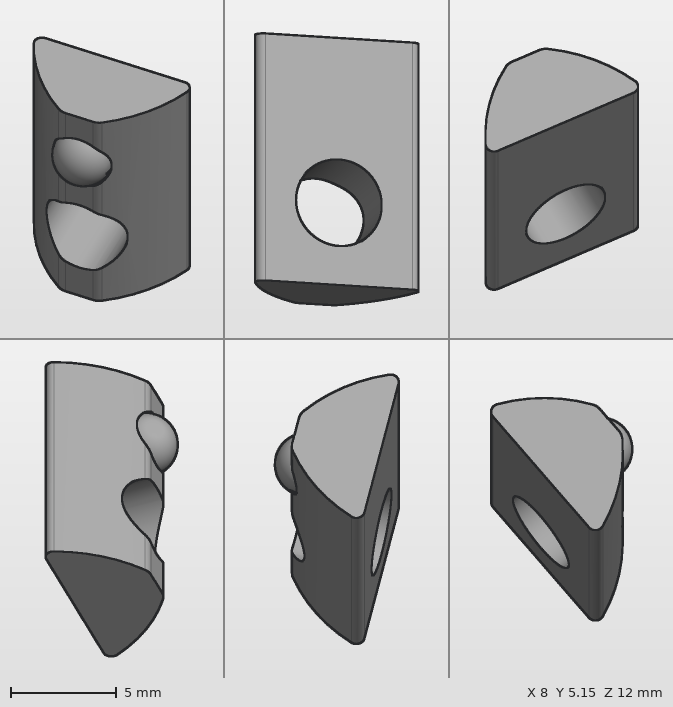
import cadquery as cq
import math

HEIGHT = 12.0
WIDTH = 8.0
DEPTH = 4.18
FRONT_FLAT_WIDTH = 1.43
FLANK_RADIUS = 8.0
BACK_CORNER_RADIUS = 0.4
FRONT_CORNER_RADIUS = 0.72

HOLE_DIAMETER = 4.2
HOLE_Z = 4.0

BALL_DIAMETER = 3.0
BALL_RADIUS = BALL_DIAMETER / 2
BALL_Z = 9.0
BALL_PROTRUSION = 0.97
BALL_Y = -DEPTH - BALL_PROTRUSION + BALL_RADIUS


def flank_center(back_center, front_center):
    """Center of the flank arc that is tangent to both corner arcs of the +X side."""
    to_back = FLANK_RADIUS - BACK_CORNER_RADIUS
    to_front = FLANK_RADIUS - FRONT_CORNER_RADIUS
    dx = front_center[0] - back_center[0]
    dy = front_center[1] - back_center[1]
    spacing = math.hypot(dx, dy)
    along = (to_back**2 - to_front**2 + spacing**2) / (2 * spacing)
    across = math.sqrt(to_back**2 - along**2)
    return (
        back_center[0] + (along * dx + across * dy) / spacing,
        back_center[1] + (along * dy - across * dx) / spacing,
    )


def point_at(center, radius, angle):
    return (center[0] + radius * math.cos(angle), center[1] + radius * math.sin(angle))


def direction(start, end):
    return math.atan2(end[1] - start[1], end[0] - start[0])


def mirrored(point):
    return (-point[0], point[1])


def make_profile():
    """Closed outline with a wide back, bowed flanks and a narrow front flat."""
    back_center = (WIDTH / 2 - BACK_CORNER_RADIUS, -BACK_CORNER_RADIUS)
    front_center = (FRONT_FLAT_WIDTH / 2, -DEPTH + FRONT_CORNER_RADIUS)
    center = flank_center(back_center, front_center)
    back_angle = direction(center, back_center)
    front_angle = direction(center, front_center)

    back_end = (back_center[0], 0)
    side = (WIDTH / 2, back_center[1])
    side_to_flank = point_at(back_center, BACK_CORNER_RADIUS, back_angle / 2)
    back_corner_mid = point_at(back_center, BACK_CORNER_RADIUS, math.pi / 4)
    flank_start = point_at(center, FLANK_RADIUS, back_angle)
    flank_mid = point_at(center, FLANK_RADIUS, (back_angle + front_angle) / 2)
    flank_end = point_at(center, FLANK_RADIUS, front_angle)
    front_corner_mid = point_at(front_center, FRONT_CORNER_RADIUS, (front_angle - math.pi / 2) / 2)
    front_end = (front_center[0], -DEPTH)

    return (
        cq.Workplane("XY")
        .moveTo(*back_end)
        .threePointArc(back_corner_mid, side)
        .threePointArc(side_to_flank, flank_start)
        .threePointArc(flank_mid, flank_end)
        .threePointArc(front_corner_mid, front_end)
        .lineTo(*mirrored(front_end))
        .threePointArc(mirrored(front_corner_mid), mirrored(flank_end))
        .threePointArc(mirrored(flank_mid), mirrored(flank_start))
        .threePointArc(mirrored(side_to_flank), mirrored(side))
        .threePointArc(mirrored(back_corner_mid), mirrored(back_end))
        .close()
    )


def make_through_hole():
    return cq.Workplane("XZ").center(0, HOLE_Z).circle(HOLE_DIAMETER / 2).extrude(DEPTH)


def make_ball_pocket():
    """Flat-bottomed bore that opens to the front and just reaches the back of the ball."""
    pocket_floor = BALL_Y + BALL_RADIUS
    return (
        cq.Workplane("XZ", origin=(0, pocket_floor, BALL_Z))
        .circle(BALL_RADIUS)
        .extrude(DEPTH + pocket_floor)
    )


def make_housing():
    body = make_profile().extrude(HEIGHT)
    return body.cut(make_through_hole()).cut(make_ball_pocket())


def make_ball():
    return cq.Workplane("XY").sphere(BALL_RADIUS).translate((0, BALL_Y, BALL_Z))


housing = make_housing()
ball = make_ball()

result = cq.Compound.makeCompound([housing.val(), ball.val()])